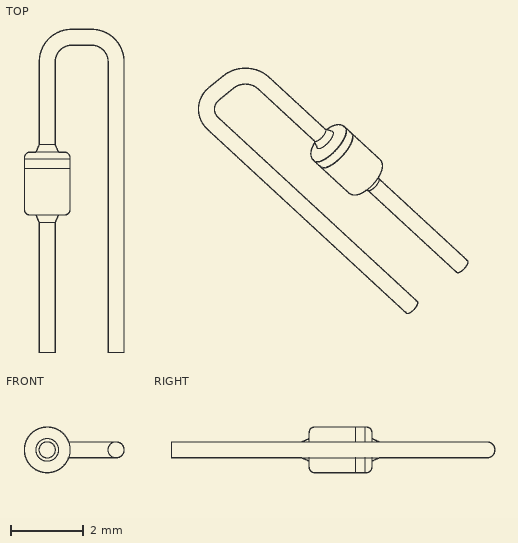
import cadquery as cq

TOTAL_LENGTH = 8.95

LEAD_RADIUS = 0.22
LEAD_PITCH = 1.91
BEND_RADIUS = 0.68

HOUSING_RADIUS = 0.635
HOUSING_START = 3.8
HOUSING_LENGTH = 1.745
HOUSING_END = HOUSING_START + HOUSING_LENGTH
EDGE_FILLET = 0.16

COLLAR_LENGTH = 0.21
COLLAR_BASE_RADIUS = 0.31

BAND_WIDTH = 0.26
BAND_FILLET_GAP = 0.04
BAND_END = HOUSING_END - EDGE_FILLET - BAND_FILLET_GAP
BAND_START = BAND_END - BAND_WIDTH
BAND_THICKNESS = 0.03


def cylinder_along_y(radius, start, length):
    """Solid cylinder on the Y axis, growing toward +Y."""
    return cq.Workplane("XZ", origin=(0, start, 0)).circle(radius).extrude(-length)


def make_band():
    """Cathode ring set flush into the housing surface."""
    outer = cylinder_along_y(HOUSING_RADIUS, BAND_START, BAND_WIDTH)
    inner = cylinder_along_y(HOUSING_RADIUS - BAND_THICKNESS, BAND_START, BAND_WIDTH)
    return outer.cut(inner)


def make_housing(band):
    """Rounded barrel with a tapered collar at each end and a groove for the band."""
    profile = (
        cq.Workplane("XY")
        .moveTo(0, HOUSING_START - COLLAR_LENGTH)
        .lineTo(LEAD_RADIUS, HOUSING_START - COLLAR_LENGTH)
        .lineTo(COLLAR_BASE_RADIUS, HOUSING_START)
        .lineTo(HOUSING_RADIUS - EDGE_FILLET, HOUSING_START)
        .radiusArc((HOUSING_RADIUS, HOUSING_START + EDGE_FILLET), -EDGE_FILLET)
        .lineTo(HOUSING_RADIUS, HOUSING_END - EDGE_FILLET)
        .radiusArc((HOUSING_RADIUS - EDGE_FILLET, HOUSING_END), -EDGE_FILLET)
        .lineTo(COLLAR_BASE_RADIUS, HOUSING_END)
        .lineTo(LEAD_RADIUS, HOUSING_END + COLLAR_LENGTH)
        .lineTo(0, HOUSING_END + COLLAR_LENGTH)
        .close()
    )
    barrel = profile.revolve(360, (0, 0, 0), (0, 1, 0))
    return barrel.cut(band)


def make_straight_lead():
    """Lead from its free tip to the lower collar."""
    return cylinder_along_y(LEAD_RADIUS, 0, HOUSING_START - COLLAR_LENGTH)


def make_bent_lead():
    """Lead from the upper collar, bent back through two quarter turns."""
    lead_start = HOUSING_END + COLLAR_LENGTH
    crown = TOTAL_LENGTH - LEAD_RADIUS
    bend_start = crown - BEND_RADIUS
    path = (
        cq.Workplane("XY")
        .moveTo(0, lead_start)
        .lineTo(0, bend_start)
        .radiusArc((BEND_RADIUS, crown), BEND_RADIUS)
        .lineTo(LEAD_PITCH - BEND_RADIUS, crown)
        .radiusArc((LEAD_PITCH, bend_start), BEND_RADIUS)
        .lineTo(LEAD_PITCH, 0)
    )
    section = cq.Workplane("XZ", origin=(0, lead_start, 0)).circle(LEAD_RADIUS)
    return section.sweep(path)


band = make_band()
housing = make_housing(band)
straight_lead = make_straight_lead()
bent_lead = make_bent_lead()

result = cq.Compound.makeCompound(
    [housing.val(), band.val(), straight_lead.val(), bent_lead.val()]
)